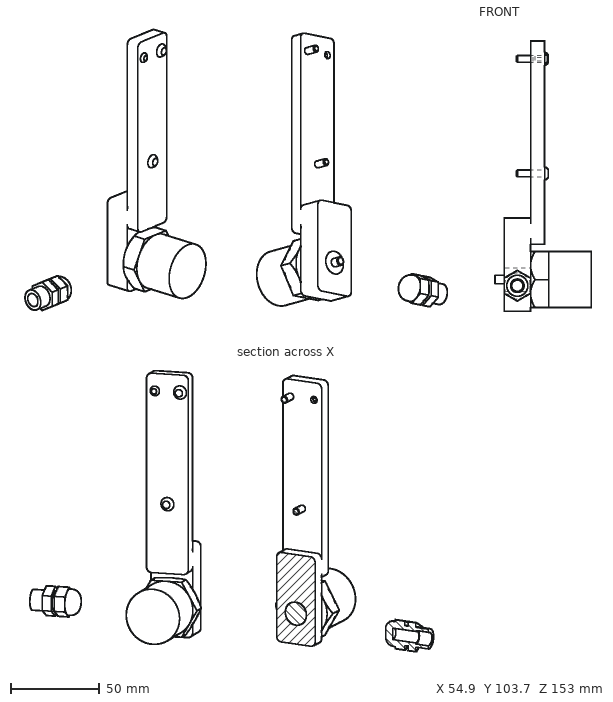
import cadquery as cq
import math


HEX_FLAT_TO_CORNER = math.cos(math.pi / 6)

BRACKET_WIDTH = 25.0
BRACKET_HEIGHT = 153.0
BLOCK_THICKNESS = 15.0
BLOCK_HEIGHT = 53.0
BAR_THICKNESS = 8.0
BAR_OVERLAP = 15.0
CORNER_RADIUS = 3.0
BAR_BOTTOM = BLOCK_HEIGHT - BAR_OVERLAP
BAR_FRONT = BLOCK_THICKNESS
BAR_BACK = BAR_FRONT + BAR_THICKNESS

SENSOR_Z = 18.0
STEM_RADIUS = 2.5
STEM_LENGTH = 5.4
STEM_CHAMFER = 0.5
BOSS_RADIUS = 6.6
CASE_RADIUS = 15.9
SENSOR_HEX_LENGTH = 10.3
CASE_LENGTH = 24.2
SENSOR_HEX_CORNER = CASE_RADIUS / HEX_FLAT_TO_CORNER

SCREW_SPACING = 7.5
UPPER_SCREW_Z = BRACKET_HEIGHT - 10.1
LOWER_SCREW_Z = UPPER_SCREW_Z - 64.9
SCREW_PLACES = [(SCREW_SPACING, UPPER_SCREW_Z), (0, LOWER_SCREW_Z)]
SCREW_RADIUS = 2.0
SCREW_TIP_CHAMFER = 0.6
SCREW_PROTRUSION = 8.0
HEAD_RADIUS = 3.8
HEAD_TOP_RADIUS = 2.1
HEAD_HEIGHT = 2.1

SHORT_SCREW_PLACE = (-SCREW_SPACING, UPPER_SCREW_Z)
SHORT_SCREW_RADIUS = 1.0
SHORT_HEAD_RADIUS = 2.8
SHORT_HEAD_TOP_RADIUS = 1.5
SHORT_HEAD_HEIGHT = 1.5
RECESS_RADIUS = SCREW_RADIUS
RECESS_DEPTH = 2.5
SHORT_TIP_DEPTH = 1.2

GLAND_X = BLOCK_THICKNESS / 2
GLAND_Z = 14.5
GLAND_TIP_Y = -57.4
GLAND_FLATS = BLOCK_THICKNESS
DOME_ROUND = 4.9
DOME_COLLAR_LENGTH = 1.4
NUT_LENGTH = 6.5
NECK_LENGTH = 1.7
GLAND_BODY_HEX_LENGTH = 5.4
THREAD_LENGTH = 8.0
THREAD_RADIUS = 6.0
BORE_MOUTH_RADIUS = 3.8
BORE_RADIUS = 3.2


def cylinder_x(radius, start, length, y, z):
    """Cylinder along +X from X = start."""
    return cq.Workplane("YZ", origin=(start, y, z)).circle(radius).extrude(length)


def rounded_slab(start, thickness, bottom, top):
    """Slab of the bracket's width with its four X-direction edges rounded."""
    height = top - bottom
    slab = cq.Workplane("XY").box(thickness, BRACKET_WIDTH, height, centered=(False, True, False))
    return slab.edges("|X").fillet(CORNER_RADIUS).translate((start, 0, bottom))


def make_bracket():
    block = rounded_slab(0, BLOCK_THICKNESS, 0, BLOCK_HEIGHT)
    bar = rounded_slab(BAR_FRONT, BAR_THICKNESS, BAR_BOTTOM, BRACKET_HEIGHT)
    bracket = block.union(bar)
    bracket = bracket.cut(cylinder_x(BOSS_RADIUS, 0, BLOCK_THICKNESS, 0, SENSOR_Z))
    for place in SCREW_PLACES:
        bracket = bracket.cut(cylinder_x(SCREW_RADIUS, BAR_FRONT, BAR_THICKNESS, *place))
    bracket = bracket.cut(cylinder_x(SHORT_SCREW_RADIUS, BAR_FRONT, BAR_THICKNESS, *SHORT_SCREW_PLACE))
    bracket = bracket.cut(cylinder_x(RECESS_RADIUS, BAR_FRONT, RECESS_DEPTH, *SHORT_SCREW_PLACE))
    return bracket


def make_sensor():
    stem = cylinder_x(STEM_RADIUS, -STEM_LENGTH, STEM_LENGTH, 0, SENSOR_Z)
    stem = stem.faces("<X").chamfer(STEM_CHAMFER)
    boss = cylinder_x(BOSS_RADIUS, 0, BLOCK_THICKNESS, 0, SENSOR_Z)
    hexagon = (
        cq.Workplane("YZ", origin=(BLOCK_THICKNESS, 0, SENSOR_Z))
        .polygon(6, 2 * SENSOR_HEX_CORNER)
        .extrude(SENSOR_HEX_LENGTH)
    )
    trim = cylinder_x(SENSOR_HEX_CORNER, BLOCK_THICKNESS, SENSOR_HEX_LENGTH, 0, SENSOR_Z)
    trim = trim.faces("<X").chamfer(SENSOR_HEX_CORNER - CASE_RADIUS)
    case_start = BLOCK_THICKNESS + SENSOR_HEX_LENGTH
    case = cylinder_x(CASE_RADIUS, case_start, CASE_LENGTH, 0, SENSOR_Z)
    return stem.union(boss).union(hexagon.intersect(trim)).union(case)


def button_head(head_radius, top_radius, height, y, z):
    """Flat-topped domed head, its underside on the bar's back face."""
    centre = (height**2 + top_radius**2 - head_radius**2) / (2 * height)
    sphere_radius = math.hypot(head_radius, centre)
    rim_angle = math.atan2(head_radius, -centre)
    top_angle = math.atan2(top_radius, height - centre)
    middle_angle = (rim_angle + top_angle) / 2
    middle = (
        centre + sphere_radius * math.cos(middle_angle),
        sphere_radius * math.sin(middle_angle),
    )
    profile = (
        cq.Workplane("XY")
        .lineTo(0, head_radius)
        .threePointArc(middle, (height, top_radius))
        .lineTo(height, 0)
        .close()
    )
    return profile.revolve(360, (0, 0, 0), (1, 0, 0)).translate((BAR_BACK, y, z))


def make_long_screw(place):
    tip = BAR_FRONT - SCREW_PROTRUSION
    shank = cylinder_x(SCREW_RADIUS, tip, BAR_BACK - tip, *place)
    shank = shank.faces("<X").chamfer(SCREW_TIP_CHAMFER)
    return shank.union(button_head(HEAD_RADIUS, HEAD_TOP_RADIUS, HEAD_HEIGHT, *place))


def make_short_screw():
    tip = BAR_FRONT + SHORT_TIP_DEPTH
    shank = cylinder_x(SHORT_SCREW_RADIUS, tip, BAR_BACK - tip, *SHORT_SCREW_PLACE)
    head = button_head(SHORT_HEAD_RADIUS, SHORT_HEAD_TOP_RADIUS, SHORT_HEAD_HEIGHT, *SHORT_SCREW_PLACE)
    return shank.union(head)


def make_gland():
    """Gland built along +Z from its domed tip, then laid along -Y."""
    corner = GLAND_FLATS / 2 / HEX_FLAT_TO_CORNER
    nut_start = DOME_ROUND + DOME_COLLAR_LENGTH
    neck_start = nut_start + NUT_LENGTH
    body_start = neck_start + NECK_LENGTH
    thread_start = body_start + GLAND_BODY_HEX_LENGTH
    end = thread_start + THREAD_LENGTH

    def cylinder(radius, start, length):
        return cq.Workplane("XY", origin=(0, 0, start)).circle(radius).extrude(length)

    def hexagon(start, length):
        prism = cq.Workplane("XY", origin=(0, 0, start)).polygon(6, 2 * corner).extrude(length)
        return prism.rotate((0, 0, 0), (0, 0, 1), 90)

    dome = cylinder(GLAND_FLATS / 2, 0, nut_start).faces("<Z").edges().fillet(DOME_ROUND)
    nut = hexagon(nut_start, NUT_LENGTH)
    core = cylinder(THREAD_RADIUS, neck_start, end - neck_start)
    body_hex = hexagon(body_start, GLAND_BODY_HEX_LENGTH)
    gland = dome.union(nut).union(core).union(body_hex)
    gland = gland.cut(cylinder(BORE_RADIUS, DOME_ROUND, end - DOME_ROUND))
    gland = gland.cut(cylinder(BORE_MOUTH_RADIUS, thread_start, THREAD_LENGTH))
    return gland.rotate((0, 0, 0), (1, 0, 0), 90).translate((GLAND_X, GLAND_TIP_Y, GLAND_Z))


bracket = make_bracket()
sensor = make_sensor()
long_screws = [make_long_screw(place) for place in SCREW_PLACES]
short_screw = make_short_screw()
gland = make_gland()

result = cq.Compound.makeCompound(
    [bracket.val(), sensor.val(), *[screw.val() for screw in long_screws], short_screw.val(), gland.val()]
)